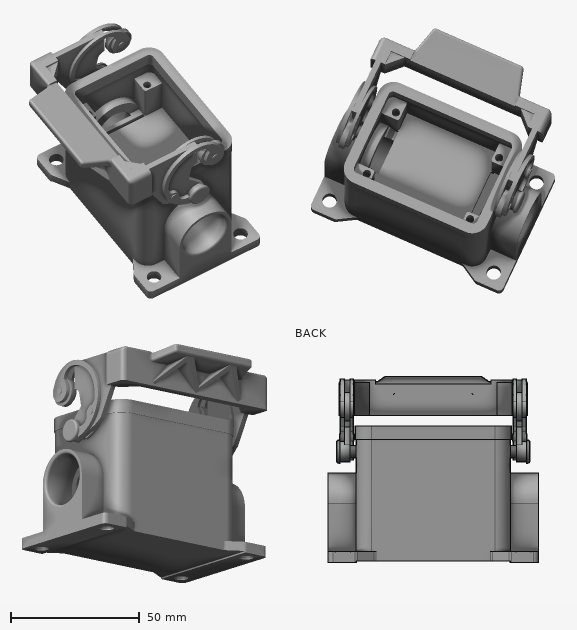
import cadquery as cq
import math


BODY_HALF_X = 30.0
BODY_HALF_Y = 21.7
BODY_BOTTOM = 0.6
BODY_CORNER = 6.1
RIM_OVERHANG = 0.3
RIM_BOTTOM = 47.8
RIM_TOP = 53.1

FLANGE_HALF_X = 41.0
FLANGE_HALF_Y = 26.0
FLANGE_TOP = 4.3
FLANGE_CORNER = 2.0
FOOT_INNER_X = 29.85
WEB_INNER_X = 22.6
WEB_BEND = 2.05
WEB_ROOT_BLEND = 1.6
MOUNT_HOLE_X = 35.1
MOUNT_HOLE_Y = 20.0
MOUNT_HOLE_D = 5.65

CAVITY_HALF_X = 26.3
CAVITY_HALF_Y = 17.95
CAVITY_CORNER = 1.8
CAVITY_UNDERCUT = 1.1
CAVITY_LIP_Z = 47.4
FLOOR_Z = 26.15
FLOOR_HALF_X = 19.7
LOW_FLOOR_Z = 24.0
RAMP_START_X = 21.1
RAMP_TOP_Z = 26.8
PILLAR_INNER_X = 19.7
PILLAR_INNER_Y = 11.1
PILLAR_TOP = 41.25
PILLAR_CORNER = 1.0
PILLAR_HOLE_X = 22.05
PILLAR_HOLE_Y = 13.6
PILLAR_HOLE_D = 3.2
PILLAR_HOLE_DEPTH = 9.8
DRILL_ANGLE = 118.0

PORT_Z = 22.9
PORT_R = 12.0
PORT_INNER_X = 23.9
PORT_BORE_R = 10.1
PORT_BORE_END_X = 27.9
PORT_MOUTH_R = 1.0
PORT_HOLE_END_X = 23.0
PORT_HOLE_R = 7.5

HOOK_INNER_X = 31.1
ARM_INNER_X = 32.3
ARM_OUTER_X = 34.5
HOOK_OUTER_X = 36.2
PIVOT_HEAD_X = 37.55
RIVET_PROUD = 0.3

PIVOT_Z = 43.1
PIVOT_HEAD_R = 4.5
PIVOT_ROUND = 0.8
PIVOT_SHAFT_R = 2.5
HUB_R = 3.9
HOOK_CENTER_Z = 55.4
HOOK_OUTER_R = 16.0
HOOK_INNER_R = 13.9
ROLLER_Y = 7.55
ROLLER_Z = 60.6
ROLLER_R = 5.5
EYE_R = 4.2
RIVET_R = 1.3
RIVET_Y = -11.5
RIVET_Z = 48.6

HOOK_TOE_ANGLE = -77
HOOK_SWELL_ANGLE = -10
HOOK_SHOULDER = (6.8, 69.0)
HOOK_EYE_OUTER = (11.2, 62.6)
HOOK_EYE_THROAT = (3.8, 62.4)
HOOK_NECK = (5.1, 65.1)
HOOK_NECK_ARC = (3.3, 68.2)
HOOK_BULGE_ARC = (-12.8, 51.7)
HOOK_BULGE = (-11.2, 51.0)
HOOK_BULGE_CORNER = (-9.6, 49.8)
HOOK_DIP = (-9.0, 47.2)
HOOK_DIP_ARC = (-7.9, 44.9)
HOOK_SOLE = (-5.6, 44.0)
HOOK_HEEL_Y = -4.3

ARM_BACK_Y = 0.4
ARM_KNEE = (-15.7, 45.6)
ARM_KNEE_ARC = (-13.2, 43.95)
ARM_SHIN = (-9.8, 42.5)
ARM_WAIST = (-3.6, 52.7)
ARM_NOTCH_FRONT = (-2.5, 58.0)
ARM_NOTCH_ARC = (-1.4, 59.5)
ARM_NOTCH_TOP_Z = 60.2

BAR_HALF_X = 36.7
BAR_INNER_HALF_X = 30.6
BAR_BACK_Y = -22.05
BAR_INNER_Y = -27.9
BAR_FRONT_Y = -32.1
BAR_BOTTOM = 57.15
BAR_TOP = 71.0
BAR_CORNER = 2.05
BAR_TOP_EDGE = 1.1
GUSSET_LEG = 5.7
GUSSET_DROP = 1.0

TAB_ROOT_HALF_X = 22.4
TAB_INNER_HALF_X = 21.65
TAB_TIP_HALF_X = 19.1
TAB_TIP_Y = -43.2
TAB_TIP_TOP = 72.65
TAB_SLOPE = 11.5
TAB_THICK = 3.7
TAB_CORNER = 1.2
TAB_EDGE = 1.0
TAB_ROOT_BLEND = 1.5
TAB_ROOT_PAD = 2.5
RIB_PITCH = 10.7
RIB_LOW_Z = 57.7
RIB_VALLEY_DEPTH = 2.0
RIB_PEAK_UNDERSIDE = 67.3
RIB_END_SETBACK = 0.5
RIB_TIP_Y = -41.8


def box(x0, x1, y0, y1, z0, z1):
    """Block between two corners."""
    return cq.Workplane("XY").box(x1 - x0, y1 - y0, z1 - z0, centered=False).translate((x0, y0, z0))


def rounded_block(half_x, half_y, z0, z1, radius):
    """Centred block with rounded upright edges."""
    return box(-half_x, half_x, -half_y, half_y, z0, z1).edges("|Z").fillet(radius)


def rod(x0, x1, y, z, radius):
    """Cylinder along X."""
    return cq.Workplane("YZ", origin=(x0, y, z)).circle(radius).extrude(x1 - x0)


def both_sides(solid):
    """The solid together with its mirror image across the YZ plane."""
    return solid.union(solid.mirror("YZ"))


def corner_points(x, y):
    """The four points at plus and minus x and y."""
    return [(sx * x, sy * y) for sx in (-1, 1) for sy in (-1, 1)]


def make_flange():
    """Two end feet, with tapered webs running from them onto the long walls."""
    foot = box(FOOT_INNER_X, FLANGE_HALF_X, -FLANGE_HALF_Y, FLANGE_HALF_Y, 0, FLANGE_TOP)
    web_outline = [
        (FOOT_INNER_X, FLANGE_HALF_Y),
        (WEB_INNER_X, BODY_HALF_Y),
        (WEB_INNER_X, -BODY_HALF_Y),
        (FOOT_INNER_X, -FLANGE_HALF_Y),
    ]
    web = cq.Workplane("XY").polyline(web_outline).close().extrude(FLANGE_TOP)
    end = foot.union(web)
    end = end.edges("|Z and >X").fillet(FLANGE_CORNER)
    for y in (-FLANGE_HALF_Y, FLANGE_HALF_Y):
        bend_edge = cq.selectors.NearestToPointSelector((FOOT_INNER_X, y, FLANGE_TOP / 2))
        end = end.edges("|Z").edges(bend_edge).fillet(WEB_BEND)
    relief = box(WEB_INNER_X, FOOT_INNER_X, -FLANGE_HALF_Y, FLANGE_HALF_Y, 0, BODY_BOTTOM)
    return both_sides(end.cut(relief))


def make_port_boss():
    """Arch-topped boss on the end wall, reaching slightly into the cavity."""
    arch = rod(PORT_INNER_X, FLANGE_HALF_X, 0, PORT_Z, PORT_R)
    base = box(PORT_INNER_X, FLANGE_HALF_X, -PORT_R, PORT_R, BODY_BOTTOM, PORT_Z)
    return both_sides(arch.union(base))


def make_cavity():
    """Space emptied inside the body: the well above the floor, with the pillars left standing."""
    well = rounded_block(CAVITY_HALF_X, CAVITY_HALF_Y, FLOOR_Z, RIM_TOP, CAVITY_CORNER)
    ramp_outline = [
        (FLOOR_HALF_X, RAMP_TOP_Z),
        (FLOOR_HALF_X, LOW_FLOOR_Z),
        (RAMP_START_X, LOW_FLOOR_Z),
        (PORT_INNER_X, RAMP_TOP_Z),
    ]
    ramp = cq.Workplane("XZ").polyline(ramp_outline).close().extrude(PILLAR_INNER_Y, both=True)
    groove = box(-RAMP_START_X, -FLOOR_HALF_X, -PILLAR_INNER_Y, PILLAR_INNER_Y, LOW_FLOOR_Z, FLOOR_Z)
    undercut = rounded_block(
        CAVITY_HALF_X + CAVITY_UNDERCUT,
        CAVITY_HALF_Y + CAVITY_UNDERCUT,
        FLOOR_Z,
        CAVITY_LIP_Z,
        CAVITY_CORNER + CAVITY_UNDERCUT,
    )
    well = well.union(undercut).union(ramp).union(groove)
    pillar = box(PILLAR_INNER_X, BODY_HALF_X, PILLAR_INNER_Y, BODY_HALF_Y, BODY_BOTTOM, PILLAR_TOP)
    pillar = pillar.edges("|Z and <X and <Y").fillet(PILLAR_CORNER)
    pillar_pair = pillar.union(pillar.mirror("XZ"))
    return well.cut(both_sides(pillar_pair))


def make_pillar_holes():
    """Blind holes with drilled cone ends."""
    radius = PILLAR_HOLE_D / 2
    tip = radius / math.tan(math.radians(DRILL_ANGLE / 2))
    profile = [(0, 0), (radius, 0), (radius, -PILLAR_HOLE_DEPTH), (0, -PILLAR_HOLE_DEPTH - tip)]
    drill = cq.Workplane("XZ").polyline(profile).close().revolve(360, (0, 0, 0), (0, 1, 0))
    holes = cq.Workplane("XY")
    for x, y in corner_points(PILLAR_HOLE_X, PILLAR_HOLE_Y):
        holes = holes.add(drill.translate((x, y, PILLAR_TOP)))
    return holes.combine()


def make_port_bore():
    """Wide bore with a rounded mouth, ending at a wall."""
    mouth_bend = PORT_MOUTH_R * (1 - math.sqrt(0.5))
    profile = (
        cq.Workplane("XZ")
        .moveTo(PORT_BORE_END_X, 0)
        .lineTo(PORT_BORE_END_X, PORT_BORE_R)
        .lineTo(FLANGE_HALF_X - PORT_MOUTH_R, PORT_BORE_R)
        .threePointArc(
            (FLANGE_HALF_X - mouth_bend, PORT_BORE_R + mouth_bend),
            (FLANGE_HALF_X, PORT_BORE_R + PORT_MOUTH_R),
        )
        .lineTo(FLANGE_HALF_X, 0)
        .close()
    )
    return profile.revolve(360, (0, 0, 0), (1, 0, 0)).translate((0, 0, PORT_Z))


def make_housing():
    body = rounded_block(BODY_HALF_X, BODY_HALF_Y, BODY_BOTTOM, RIM_TOP, BODY_CORNER)
    rim = rounded_block(
        BODY_HALF_X + RIM_OVERHANG,
        BODY_HALF_Y + RIM_OVERHANG,
        RIM_BOTTOM,
        RIM_TOP,
        BODY_CORNER + RIM_OVERHANG,
    )
    housing = body.union(rim).union(make_flange())
    for x, y in corner_points(WEB_INNER_X, BODY_HALF_Y):
        root_edge = cq.selectors.NearestToPointSelector((x, y, (BODY_BOTTOM + FLANGE_TOP) / 2))
        housing = housing.edges("|Z").edges(root_edge).fillet(WEB_ROOT_BLEND)
    housing = housing.cut(make_cavity()).union(make_port_boss())
    housing = housing.cut(both_sides(make_port_bore()))
    housing = housing.cut(rod(FLOOR_HALF_X, FLANGE_HALF_X, 0, PORT_Z, PORT_HOLE_R))
    housing = housing.cut(rod(-FLANGE_HALF_X, -PORT_HOLE_END_X, 0, PORT_Z, PORT_HOLE_R))
    housing = housing.cut(make_pillar_holes())
    mount_holes = (
        cq.Workplane("XY")
        .pushPoints(corner_points(MOUNT_HOLE_X, MOUNT_HOLE_Y))
        .circle(MOUNT_HOLE_D / 2)
        .extrude(FLANGE_TOP)
    )
    return housing.cut(mount_holes)


def on_hook(radius, degrees):
    """Point on a circle about the hook centre; 0 degrees is -Y, 90 degrees is up."""
    angle = math.radians(degrees)
    return (-radius * math.cos(angle), HOOK_CENTER_Z + radius * math.sin(angle))


def make_hook(x0, x1):
    """Crescent spring plate: an eye, a slim arc and a broad foot beside the pivot."""
    outline = (
        cq.Workplane("YZ", origin=(x0, 0, 0))
        .moveTo(*on_hook(HOOK_OUTER_R, HOOK_TOE_ANGLE))
        .threePointArc(on_hook(HOOK_OUTER_R, 0), on_hook(HOOK_OUTER_R, 90))
        .threePointArc(HOOK_SHOULDER, HOOK_EYE_OUTER)
        .threePointArc((ROLLER_Y, ROLLER_Z - EYE_R), (ROLLER_Y - EYE_R, ROLLER_Z))
        .threePointArc(HOOK_EYE_THROAT, HOOK_NECK)
        .threePointArc(HOOK_NECK_ARC, on_hook(HOOK_INNER_R, 90))
        .threePointArc(on_hook(HOOK_INNER_R, 45), on_hook(HOOK_INNER_R, HOOK_SWELL_ANGLE))
        .threePointArc(HOOK_BULGE_ARC, HOOK_BULGE)
        .threePointArc(HOOK_BULGE_CORNER, HOOK_DIP)
        .threePointArc(HOOK_DIP_ARC, HOOK_SOLE)
        .lineTo(HOOK_HEEL_Y, HOOK_SOLE[1])
        .close()
    )
    return outline.extrude(x1 - x0)


def make_arm():
    """Middle plate joining the pivot to the cross bar."""
    hub_diagonal = HUB_R * math.sqrt(0.5)
    outline = (
        cq.Workplane("YZ", origin=(ARM_INNER_X, 0, 0))
        .moveTo(ARM_BACK_Y, BAR_TOP)
        .lineTo(BAR_INNER_Y, BAR_TOP)
        .lineTo(BAR_INNER_Y, BAR_BOTTOM)
        .lineTo(BAR_BACK_Y, BAR_BOTTOM)
        .lineTo(*ARM_KNEE)
        .threePointArc(ARM_KNEE_ARC, ARM_SHIN)
        .lineTo(0, PIVOT_Z - HUB_R)
        .threePointArc((HUB_R, PIVOT_Z), (hub_diagonal, PIVOT_Z + hub_diagonal))
        .lineTo(*ARM_WAIST)
        .lineTo(*ARM_NOTCH_FRONT)
        .threePointArc(ARM_NOTCH_ARC, (ARM_BACK_Y, ARM_NOTCH_TOP_Z))
        .close()
    )
    return outline.extrude(ARM_OUTER_X - ARM_INNER_X)


def make_lever_side():
    """Arm, hook plates, roller, rivets and pivot on the +X side."""
    side = make_arm()
    side = side.union(make_hook(HOOK_INNER_X, ARM_INNER_X))
    side = side.union(make_hook(ARM_OUTER_X, HOOK_OUTER_X))
    side = side.union(rod(ARM_INNER_X, ARM_OUTER_X, ROLLER_Y, ROLLER_Z, ROLLER_R))
    for y, z in [(ROLLER_Y, ROLLER_Z), (RIVET_Y, RIVET_Z)]:
        side = side.union(rod(HOOK_INNER_X - RIVET_PROUD, HOOK_OUTER_X + RIVET_PROUD, y, z, RIVET_R))
    side = side.union(rod(BODY_HALF_X, ARM_OUTER_X, 0, PIVOT_Z, PIVOT_SHAFT_R))
    side = side.union(rod(ARM_OUTER_X, HOOK_OUTER_X, 0, PIVOT_Z, HUB_R))
    head = rod(HOOK_OUTER_X, PIVOT_HEAD_X, 0, PIVOT_Z, PIVOT_HEAD_R).faces(">X").edges().fillet(PIVOT_ROUND)
    return side.union(head)


def make_bar():
    """U-shaped cross bar with rounded outside edges and inner corner gussets."""
    bar = box(-BAR_HALF_X, BAR_HALF_X, BAR_FRONT_Y, BAR_BACK_Y, BAR_BOTTOM, BAR_TOP)
    bar = bar.edges(">Z and <Y").fillet(BAR_TOP_EDGE)
    bar = bar.faces("<X or >X").edges("not (>Y or <Z)").fillet(BAR_CORNER)
    bar = bar.cut(
        box(-BAR_INNER_HALF_X, BAR_INNER_HALF_X, BAR_INNER_Y, BAR_BACK_Y, BAR_BOTTOM, BAR_TOP)
    )
    gusset_outline = [
        (BAR_INNER_HALF_X, BAR_INNER_Y),
        (BAR_INNER_HALF_X - GUSSET_LEG, BAR_INNER_Y),
        (BAR_INNER_HALF_X, BAR_INNER_Y + GUSSET_LEG),
    ]
    gusset = cq.Workplane("XY").workplane(offset=BAR_BOTTOM).polyline(gusset_outline).close()
    return bar.union(both_sides(gusset.extrude(BAR_TOP - GUSSET_DROP - BAR_BOTTOM)))


def tab_top(y):
    """Height of the tab's sloping top face at a given Y."""
    return TAB_TIP_TOP - (y - TAB_TIP_Y) * math.tan(math.radians(TAB_SLOPE))


def tab_layer(half_width, low, high):
    """Slab following the tab's slope, between two offsets from its top face."""
    outline = [
        (TAB_TIP_Y, tab_top(TAB_TIP_Y) + low),
        (BAR_INNER_Y, tab_top(BAR_INNER_Y) + low),
        (BAR_INNER_Y, tab_top(BAR_INNER_Y) + high),
        (TAB_TIP_Y, tab_top(TAB_TIP_Y) + high),
    ]
    return cq.Workplane("YZ").polyline(outline).close().extrude(half_width, both=True)


def make_tab():
    """Tapered handle tab, tilted upwards towards its rounded free end."""
    plan = [
        (TAB_INNER_HALF_X, BAR_INNER_Y),
        (TAB_ROOT_HALF_X, BAR_FRONT_Y),
        (TAB_TIP_HALF_X, TAB_TIP_Y),
        (-TAB_TIP_HALF_X, TAB_TIP_Y),
        (-TAB_ROOT_HALF_X, BAR_FRONT_Y),
        (-TAB_INNER_HALF_X, BAR_INNER_Y),
    ]
    pad_half_x = TAB_ROOT_HALF_X + TAB_ROOT_PAD
    plan_block = cq.Workplane("XY").polyline(plan).close().extrude(2 * BAR_TOP)
    pad = box(-pad_half_x, pad_half_x, BAR_FRONT_Y, BAR_INNER_Y, 0, 2 * BAR_TOP)
    plan_block = plan_block.union(pad)
    for x in (-TAB_ROOT_HALF_X, TAB_ROOT_HALF_X):
        plan_block = plan_block.edges(cq.selectors.NearestToPointSelector((x, BAR_FRONT_Y, BAR_TOP)))
        plan_block = plan_block.fillet(TAB_ROOT_BLEND)
    tab = tab_layer(pad_half_x, -TAB_THICK, 0).intersect(plan_block)
    tab = tab.edges("|Z and <Y").fillet(TAB_CORNER)
    return tab.faces("<Y").edges("not |Z").fillet(TAB_EDGE)


def make_rib():
    """W-shaped rib under the tab, cut off along a slope from the bar to the tab's tip."""
    valley_z = RIB_LOW_Z + RIB_VALLEY_DEPTH
    peak_z = valley_z + RIB_PITCH
    end_x = 2 * RIB_PITCH
    right_half = [
        (0, RIB_LOW_Z),
        (RIB_PITCH, RIB_PEAK_UNDERSIDE),
        (end_x - RIB_END_SETBACK, RIB_LOW_Z),
        (end_x + RIB_END_SETBACK, RIB_LOW_Z + 2 * RIB_END_SETBACK),
        (RIB_PITCH, peak_z),
        (0, valley_z),
    ]
    wall = cq.Workplane("XZ", origin=(0, BAR_INNER_Y, 0)).polyline(right_half).close()
    rib = both_sides(wall.extrude(BAR_INNER_Y - RIB_TIP_Y))
    slope = [
        (BAR_INNER_Y, tab_top(BAR_INNER_Y) - TAB_THICK / 2),
        (BAR_INNER_Y, BAR_BOTTOM),
        (BAR_FRONT_Y, RIB_LOW_Z),
        (RIB_TIP_Y, tab_top(RIB_TIP_Y) - TAB_THICK),
        (RIB_TIP_Y, tab_top(RIB_TIP_Y) - TAB_THICK / 2),
    ]
    limits = cq.Workplane("YZ").polyline(slope).close().extrude(BAR_HALF_X, both=True)
    return rib.intersect(limits)


def make_lever():
    bar = make_bar().cut(tab_layer(TAB_ROOT_HALF_X, 0, TAB_THICK))
    return bar.union(make_tab()).union(make_rib()).union(both_sides(make_lever_side()))


result = make_housing().union(make_lever())